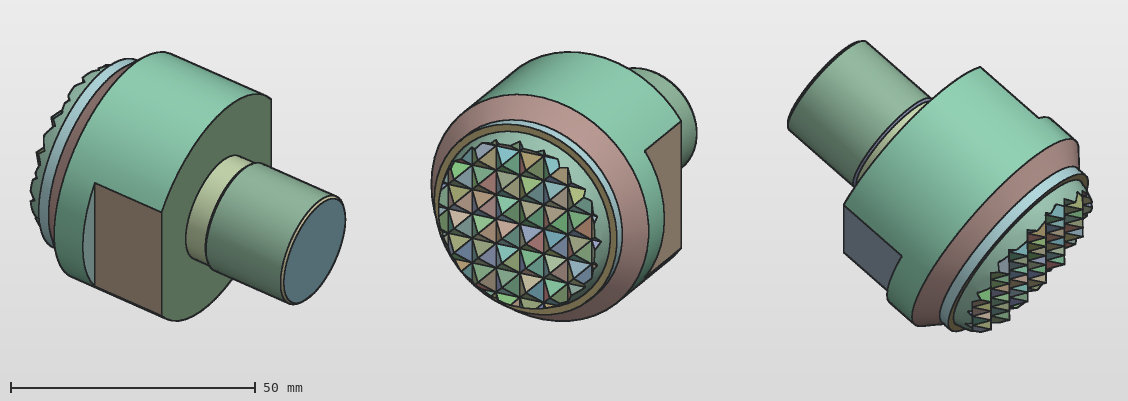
import cadquery as cq
import math


ball_radius = 20.0
ball_center_x = 10.0
tooth_pitch = 5.5
tooth_depth = tooth_pitch / 2
teeth_across = 8

head_radius = 25.0
lip_radius = 21.0
lip_front_x = 5.3
lip_length = 2.4
cone_length = head_radius - lip_radius
head_back_x = 35.0
cone_start_x = lip_front_x + lip_length
cone_end_x = cone_start_x + cone_length

width_across_flats = 41.0
flat_length = 16.3

neck_radius = 11.5
neck_length = 4.8
stud_radius = 12.0
stud_chamfer = 0.5
stud_end_x = 59.0
neck_end_x = head_back_x + neck_length


def make_blunt_sphere():
    """Sphere cut flat at the plane of the tooth tips, turned about the X axis."""
    flat_radius = math.sqrt(ball_radius**2 - ball_center_x**2)
    half_profile = (
        cq.Workplane("XY")
        .lineTo(0, flat_radius)
        .threePointArc((ball_center_x, ball_radius), (ball_center_x + ball_radius, 0))
        .close()
    )
    return half_profile.revolve(360, (0, 0, 0), (1, 0, 0))


def make_sawtooth_block(plane):
    """Block around the ball with a sawtooth front; the ridges run along the plane's normal."""
    half_width = teeth_across * tooth_pitch / 2
    back_x = ball_center_x + ball_radius + tooth_pitch
    points = [(tooth_depth, -half_width)]
    for tooth in range(teeth_across):
        tooth_start = tooth * tooth_pitch - half_width
        points.append((0, tooth_start + tooth_pitch / 2))
        points.append((tooth_depth, tooth_start + tooth_pitch))
    points.append((back_x, half_width))
    points.append((back_x, -half_width))
    return cq.Workplane(plane).polyline(points).close().extrude(half_width, both=True)


def make_ball():
    """Ball whose front is cut into a square grid of pyramids."""
    ridges_along_z = make_sawtooth_block("XY")
    ridges_along_y = make_sawtooth_block("XZ")
    return make_blunt_sphere().intersect(ridges_along_z).intersect(ridges_along_y)


def make_turned_housing():
    """Head, neck and stud as one turned shape, before the socket and flats."""
    profile = [
        (lip_front_x, 0),
        (lip_front_x, lip_radius),
        (cone_start_x, lip_radius),
        (cone_end_x, head_radius),
        (head_back_x, head_radius),
        (head_back_x, neck_radius),
        (neck_end_x, neck_radius),
        (neck_end_x + stud_chamfer, stud_radius),
        (stud_end_x - stud_chamfer, stud_radius),
        (stud_end_x, stud_radius - stud_chamfer),
        (stud_end_x, 0),
    ]
    return cq.Workplane("XY").polyline(profile).close().revolve(360, (0, 0, 0), (1, 0, 0))


def make_flat_cutter(side):
    """Block outside one wrench flat; side is -1 or +1 along Y."""
    cutter_depth = head_radius
    center_x = head_back_x - flat_length / 2
    center_y = side * (width_across_flats + cutter_depth) / 2
    cutter = cq.Workplane("XY").box(flat_length, cutter_depth, 2 * head_radius)
    return cutter.translate((center_x, center_y, 0))


def make_housing():
    body = make_turned_housing().cut(make_blunt_sphere())
    for side in (-1, 1):
        body = body.cut(make_flat_cutter(side))
    return body


ball = make_ball()
housing = make_housing()

result = cq.Compound.makeCompound([*ball.solids().vals(), *housing.solids().vals()])